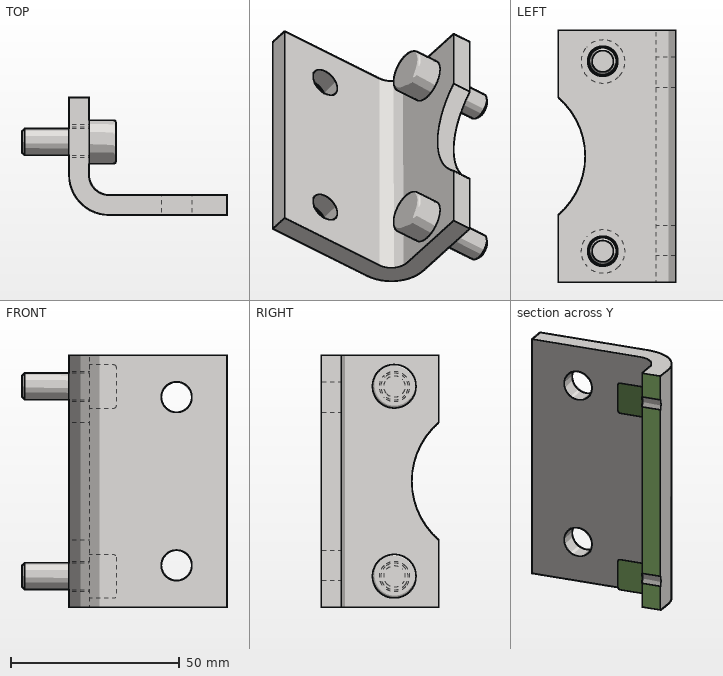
import cadquery as cq

height = 75.0
flange_length = 47.0
leg_length = 35.0
thickness = 6.0
inner_bend_radius = 6.0
outer_bend_radius = inner_bend_radius + thickness
hole_diameter = 9.0
mid_height = height / 2

flange_hole_edge_distance = 15.0
flange_hole_spacing = 50.0
flange_hole_x = flange_length - flange_hole_edge_distance

notch_radius = 23.0
notch_center_offset = 15.0

screw_edge_distance = 13.3
screw_spacing = 56.5
screw_y = leg_length - screw_edge_distance
shank_diameter = 8.0
shank_protrusion = 13.95
shank_chamfer = 0.8
head_diameter = 13.0
head_length = 8.0
head_fillet = 0.8
underhead_fillet = 0.4


def heights_about_middle(spacing):
    """Z of two features placed symmetrically about the mid height."""
    return [mid_height - spacing / 2, mid_height + spacing / 2]


def cylinder_along_x(diameter, length, x, y, z):
    """Cylinder that starts at (x, y, z) and runs toward +X."""
    return cq.Workplane("YZ", origin=(x, y, z)).circle(diameter / 2).extrude(length)


def cylinder_along_y(diameter, length, x, z):
    """Cylinder that starts at Y = 0 and runs toward +Y."""
    return cq.Workplane("XZ", origin=(x, 0, z)).circle(diameter / 2).extrude(-length)


def make_bracket():
    bracket = (
        cq.Workplane("XY")
        .moveTo(0, leg_length)
        .lineTo(0, outer_bend_radius)
        .radiusArc((outer_bend_radius, 0), -outer_bend_radius)
        .lineTo(flange_length, 0)
        .lineTo(flange_length, thickness)
        .lineTo(outer_bend_radius, thickness)
        .radiusArc((thickness, outer_bend_radius), inner_bend_radius)
        .lineTo(thickness, leg_length)
        .close()
        .extrude(height)
    )
    for z in heights_about_middle(flange_hole_spacing):
        bracket = bracket.cut(cylinder_along_y(hole_diameter, thickness, flange_hole_x, z))
    for z in heights_about_middle(screw_spacing):
        bracket = bracket.cut(cylinder_along_x(hole_diameter, thickness, 0, screw_y, z))
    notch_y = leg_length + notch_center_offset
    return bracket.cut(cylinder_along_x(2 * notch_radius, thickness, 0, notch_y, mid_height))


def make_screw(z):
    """Screw with its head seated on the inner face of the leg."""
    shank_length = shank_protrusion + thickness
    shank = cylinder_along_x(shank_diameter, shank_length, -shank_protrusion, screw_y, z)
    shank = shank.faces("<X").chamfer(shank_chamfer)
    head = cylinder_along_x(head_diameter, head_length, thickness, screw_y, z)
    head = head.faces(">X").edges().fillet(head_fillet)
    screw = shank.union(head)
    shank_root = cq.selectors.BoxSelector(
        (thickness - underhead_fillet, screw_y - shank_diameter, z - shank_diameter),
        (thickness + underhead_fillet, screw_y + shank_diameter, z + shank_diameter),
    )
    return screw.edges(shank_root).edges(cq.selectors.RadiusNthSelector(0)).fillet(underhead_fillet)


bracket = make_bracket()
screws = [make_screw(z) for z in heights_about_middle(screw_spacing)]

result = cq.Compound.makeCompound([bracket.val(), *[screw.val() for screw in screws]])